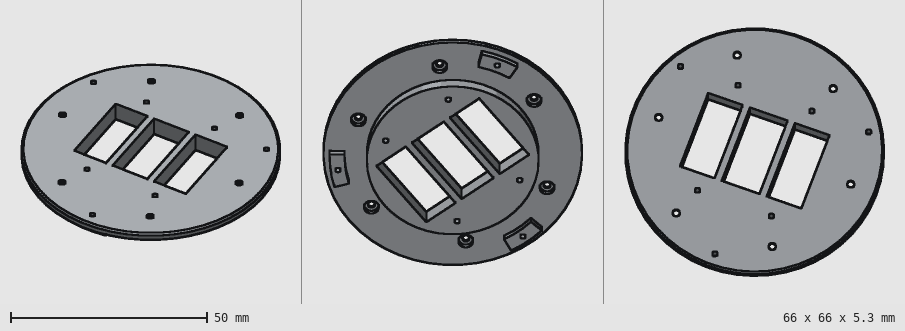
import cadquery as cq
import math

plate_diameter = 66
plate_thickness = 2
rim_chamfer = 0.5

hub_diameter = 43.8
hub_height = 3.3

pad_inner_radius = 27.6
pad_outer_radius = 31.4
pad_height = 1.8
pad_half_angle = 9
pad_angles = (30, 150, 270)
pad_hole_circle_radius = (pad_inner_radius + pad_outer_radius) / 2

small_hole_diameter = 1.3
mount_hole_diameter = 1.8
mount_hole_circle_radius = 26.1
counterbore_diameter = 3.75
counterbore_depth = 1.3
mount_hole_count = 6
inner_hole_spacing_x = 20.05
inner_hole_spacing_y = 30.0

window_length = 20.9
middle_window_width = 10.2
side_window_width = 9.4
window_gap = 2
side_window_offset = middle_window_width / 2 + window_gap + side_window_width / 2


def polar(radius, angle):
    """Point at a radius and an angle in degrees."""
    return (radius * math.cos(math.radians(angle)), radius * math.sin(math.radians(angle)))


def make_pad(angle):
    """Pad with radial sides and concentric inner and outer arcs."""
    start = angle - pad_half_angle
    end = angle + pad_half_angle
    return (
        cq.Workplane("XY")
        .moveTo(*polar(pad_inner_radius, start))
        .lineTo(*polar(pad_outer_radius, start))
        .threePointArc(polar(pad_outer_radius, angle), polar(pad_outer_radius, end))
        .lineTo(*polar(pad_inner_radius, end))
        .threePointArc(polar(pad_inner_radius, angle), polar(pad_inner_radius, start))
        .close()
        .extrude(-pad_height)
    )


def drill(body, points, diameter):
    """Holes through the plate and everything below it."""
    cutter = (
        cq.Workplane("XY", origin=(0, 0, -hub_height))
        .pushPoints(points)
        .circle(diameter / 2)
        .extrude(hub_height + plate_thickness)
    )
    return body.cut(cutter)


def cut_window(body, center_x, width):
    """Rectangular window through the plate and hub."""
    cutter = (
        cq.Workplane("XY", origin=(center_x, 0, -hub_height))
        .rect(width, window_length)
        .extrude(hub_height + plate_thickness)
    )
    return body.cut(cutter)


plate = cq.Workplane("XY").circle(plate_diameter / 2).extrude(plate_thickness)
plate = plate.faces(">Z").edges().chamfer(rim_chamfer)
hub = cq.Workplane("XY").circle(hub_diameter / 2).extrude(-hub_height)
result = plate.union(hub)
for pad_angle in pad_angles:
    result = result.union(make_pad(pad_angle))

result = cut_window(result, 0, middle_window_width)
for side in (-1, 1):
    result = cut_window(result, side * side_window_offset, side_window_width)

mount_points = [
    polar(mount_hole_circle_radius, index * 360 / mount_hole_count)
    for index in range(mount_hole_count)
]
pad_points = [polar(pad_hole_circle_radius, angle) for angle in pad_angles]
inner_points = [
    (side_x * inner_hole_spacing_x / 2, side_y * inner_hole_spacing_y / 2)
    for side_x in (-1, 1)
    for side_y in (-1, 1)
]
result = drill(result, mount_points, mount_hole_diameter)
result = drill(result, pad_points + inner_points, small_hole_diameter)

counterbores = (
    cq.Workplane("XY")
    .pushPoints(mount_points)
    .circle(counterbore_diameter / 2)
    .extrude(counterbore_depth)
)
result = result.cut(counterbores)